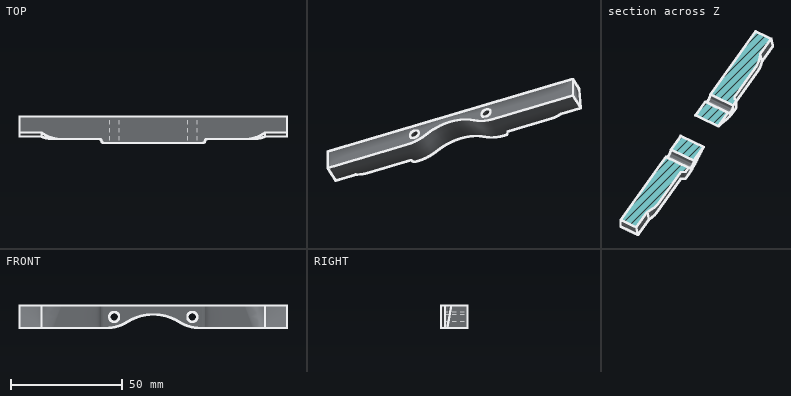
import cadquery as cq
import math

length = 120.0
depth = 12.0
height = 10.2
half_length = length / 2

pad_rise = 1.8
pad_half_width = 22.1
pad_edge_radius = 1.2
pad_foot_radius = 0.8
step_slope = 10.0

end_flat_length = 9.8
blend_length_top = 9.1
blend_length_bottom = 5.4
end_recess_top = 2.9
end_recess_bottom = 1.1

arch_half_width = 21.0
arch_rise = 6.1
arch_bend_x = 11.8

hole_diameter = 4.3
hole_spacing = 35.0
hole_z = 5.0

overcut = 1.2


def fillet_upright_edges(body, edge_centres, radius):
    """Round the vertical edges nearest to the given points."""
    edges = body.newObject([])
    for centre in edge_centres:
        edges = edges.add(body.edges("|Z").edges(cq.NearestToPointSelector(centre)))
    return edges.fillet(radius)


def make_bar():
    """Bar with the raised pad, its sloped side walls rounded at head and foot."""
    slope = math.radians(step_slope)
    corner_setback = pad_edge_radius * math.tan((math.pi / 2 - slope) / 2)
    wall_top = pad_half_width + corner_setback
    wall_foot = wall_top + pad_rise * math.tan(slope)
    outline = [
        (-half_length, depth),
        (-half_length, pad_rise),
        (-wall_foot, pad_rise),
        (-wall_top, 0),
        (wall_top, 0),
        (wall_foot, pad_rise),
        (half_length, pad_rise),
        (half_length, depth),
    ]
    bar = cq.Workplane("XY").polyline(outline).close().extrude(height)
    pad_edges = []
    pad_feet = []
    for side in (-1, 1):
        pad_edges.append((side * wall_top, 0, height / 2))
        pad_feet.append((side * wall_foot, pad_rise, height / 2))
    bar = fillet_upright_edges(bar, pad_edges, pad_edge_radius)
    return fillet_upright_edges(bar, pad_feet, pad_foot_radius)


def end_profile(z, blend_length, recess):
    """Closed outline of the material removed from the left end at height z."""
    flat_end_x = -half_length + end_flat_length
    tangent_x = flat_end_x + blend_length
    recess_y = pad_rise + recess
    radius = (blend_length**2 + recess**2) / (2 * recess)
    half_angle = math.atan2(recess, blend_length)
    arc_middle = (
        tangent_x - radius * math.sin(half_angle),
        pad_rise + radius * (1 - math.cos(half_angle)),
    )
    outline = (
        cq.Workplane("XY")
        .moveTo(-half_length - overcut, pad_rise)
        .lineTo(-half_length - overcut, recess_y)
        .lineTo(flat_end_x, recess_y)
        .threePointArc(arc_middle, (tangent_x, pad_rise))
        .close()
    )
    return outline.val().translate(cq.Vector(0, 0, z))


def make_end_cutter():
    """Leaning flat that runs out into the wing face through a ruled round."""
    bottom = end_profile(0, blend_length_bottom, end_recess_bottom)
    top = end_profile(height, blend_length_top, end_recess_top)
    return cq.Workplane(cq.Solid.makeLoft([bottom, top], True))


def make_arch_cutter():
    """Bell-shaped arch: a crown arc flowing tangentially into two flared feet."""
    half_angle = math.atan2(arch_rise, arch_half_width)
    bend_angle = 2 * half_angle
    bend_z = arch_rise * (1 - arch_bend_x / arch_half_width)
    foot_radius = (arch_half_width - arch_bend_x) / math.sin(bend_angle)
    foot_middle_x = arch_half_width - foot_radius * math.sin(half_angle)
    foot_middle_z = foot_radius * (1 - math.cos(half_angle))
    return (
        cq.Workplane("XZ")
        .moveTo(-arch_half_width, 0)
        .threePointArc((-foot_middle_x, foot_middle_z), (-arch_bend_x, bend_z))
        .threePointArc((0, arch_rise), (arch_bend_x, bend_z))
        .threePointArc((foot_middle_x, foot_middle_z), (arch_half_width, 0))
        .close()
        .extrude(-depth)
    )


def make_hole_cutter():
    """Two round holes running front to back."""
    centres = [(-hole_spacing / 2, hole_z), (hole_spacing / 2, hole_z)]
    return cq.Workplane("XZ").pushPoints(centres).circle(hole_diameter / 2).extrude(-depth)


left_end_cutter = make_end_cutter()
result = (
    make_bar()
    .cut(left_end_cutter)
    .cut(left_end_cutter.mirror("YZ"))
    .cut(make_arch_cutter())
    .cut(make_hole_cutter())
)